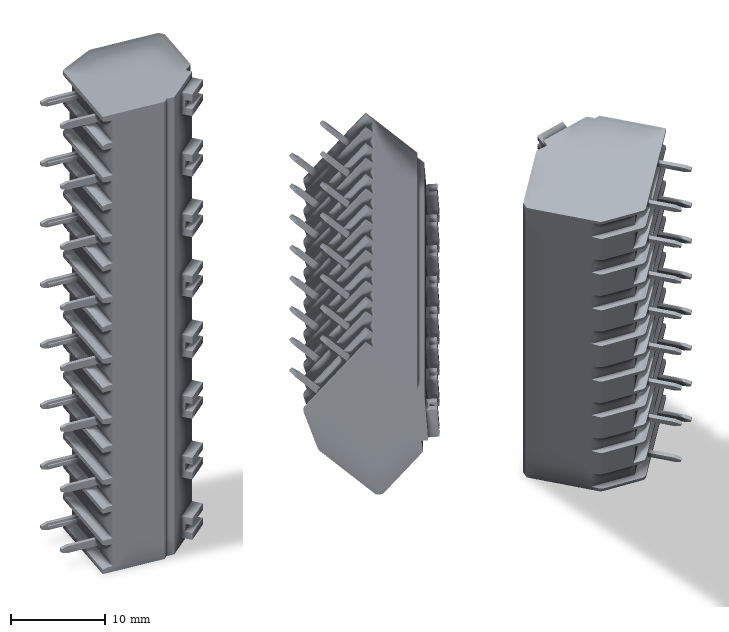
import cadquery as cq
import math

width = 12.7
length = 57.55
flange_thickness = 0.545
module_count = 8
module_height = 4.2
pitch = (length - module_height) / (module_count - 1)
module_middle = module_height / 2

chamfer_start = 2.5
chamfer_angle = 60
chamfer_rise = chamfer_start * math.tan(math.radians(chamfer_angle))
side_blend = 1.05
foot_blend = 0.6
back = 12.9
back_corner = 0.5
slant_sum = 20.9
slant_angle = -45
slant_top_x = 8.45
notch_size = 0.5
notch_back_x = 7.1
ledge_x = 12.3
ledge_undercut = 0.1
ledge_y = 7.75
side_top = 7.25

recess_depth = 1.15
block_inset = 0.5
bevel_height = 0.16
margin = 2.9

button_length = 3.2
button_rise = 1.2
button_height = 2.7
slot_width = 1.0
slot_depth = 0.8

pin_left_edges = (4.3, 9.3)
pin_thickness = 0.4
pin_width = 0.85
pin_tip_width = 0.4
pin_tip = -3.45
taper_start = -2.75
shoulder_width = 1.55
shoulder_step = 0.2
rib_width = 0.3
rib_rise = 0.2


def box(x_range, y_range, z_range):
    """Box between the given limits."""
    sizes = [high - low for low, high in (x_range, y_range, z_range)]
    corner = (x_range[0], y_range[0], z_range[0])
    return cq.Workplane("XY").box(*sizes, centered=False).translate(corner)


def make_body():
    """Full-height prism with the outline of the flanges."""
    outline = [
        (chamfer_start, 0),
        (width, 0),
        (width, side_top),
        (ledge_x - ledge_undercut, ledge_y),
        (ledge_x, ledge_y),
        (ledge_x, slant_sum - ledge_x),
        (slant_top_x, slant_sum - slant_top_x),
        (slant_top_x - notch_size, slant_sum - slant_top_x - notch_size),
        (notch_back_x, back),
        (back_corner, back),
        (0, back - back_corner),
        (0, chamfer_rise),
    ]
    prism = cq.Workplane("XY").polyline(outline).close().extrude(length)
    prism = prism.edges(cq.NearestToPointSelector((0, chamfer_rise, length / 2))).fillet(side_blend)
    return prism.edges(cq.NearestToPointSelector((chamfer_start, 0, length / 2))).fillet(foot_blend)


def recess_outline(depth, inset):
    """Region in front of y = depth and of the chamfer line moved inward by inset."""
    angle = math.radians(chamfer_angle)
    shift = inset / math.sin(angle)
    kink_x = chamfer_start + shift - depth / math.tan(angle)
    left_y = depth + (kink_x + margin) * math.tan(angle)
    return [
        (-margin, -margin),
        (width + margin, -margin),
        (width + margin, depth),
        (kink_x, depth),
        (-margin, left_y),
    ]


def recess(depth, inset, bottom, top):
    """Straight cutter between two heights."""
    outline = recess_outline(depth, inset)
    return cq.Workplane("XY").workplane(offset=bottom).polyline(outline).close().extrude(top - bottom)


def bevel(inner_z, outer_z):
    """Cutter whose outline shrinks from the flange bevel's inner edge to the flange rim."""
    return (
        cq.Workplane("XY").workplane(offset=inner_z)
        .polyline(recess_outline(block_inset, block_inset)).close()
        .workplane(offset=outer_z - inner_z)
        .polyline(recess_outline(0, 0)).close()
        .loft(ruled=True)
    )


def pin_recess():
    """Pocket around the pins of one module, widening toward the flange rims."""
    mouth_bottom = flange_thickness
    mouth_top = module_height - flange_thickness
    floor = mouth_bottom + bevel_height
    ceiling = mouth_top - bevel_height
    pocket = recess(recess_depth, block_inset, floor, ceiling)
    return pocket.union(bevel(floor, mouth_bottom)).union(bevel(ceiling, mouth_top))


def pin(left):
    """Flat pin with a shoulder at the block and a tapered tip."""
    root = recess_depth
    shoulder_front = recess_depth - shoulder_step
    half_profile = [
        (root, shoulder_width / 2),
        (shoulder_front, shoulder_width / 2),
        (shoulder_front, pin_width / 2),
        (taper_start, pin_width / 2),
        (pin_tip, pin_tip_width / 2),
    ]
    mirrored = [(y, -z) for y, z in reversed(half_profile)]
    blade = cq.Workplane("YZ").polyline(half_profile + mirrored).close().extrude(pin_thickness)
    return blade.translate((left, 0, module_middle))


def pin_rib():
    """Raised rib along the right face of the first pin."""
    face = pin_left_edges[0] + pin_thickness
    rib_z = (module_middle - rib_width / 2, module_middle + rib_width / 2)
    return box((face, face + rib_rise), (taper_start, recess_depth), rib_z)


def button():
    """Slotted push button standing on the slanted face."""
    block = box((0, button_length), (0, button_rise), (-button_height / 2, button_height / 2))
    slot = box((0, button_length), (button_rise - slot_depth, button_rise), (-slot_width / 2, slot_width / 2))
    slotted = block.cut(slot).rotate((0, 0, 0), (0, 0, 1), slant_angle)
    return slotted.translate((slant_top_x, slant_sum - slant_top_x, module_middle))


result = make_body()

for index in range(module_count):
    base = index * pitch
    result = result.cut(pin_recess().translate((0, 0, base)))
    if index < module_count - 1:
        result = result.cut(recess(recess_depth, 0, base + module_height, base + pitch))
    for left in pin_left_edges:
        result = result.union(pin(left).translate((0, 0, base)))
    result = result.union(pin_rib().translate((0, 0, base)))
    result = result.union(button().translate((0, 0, base)))